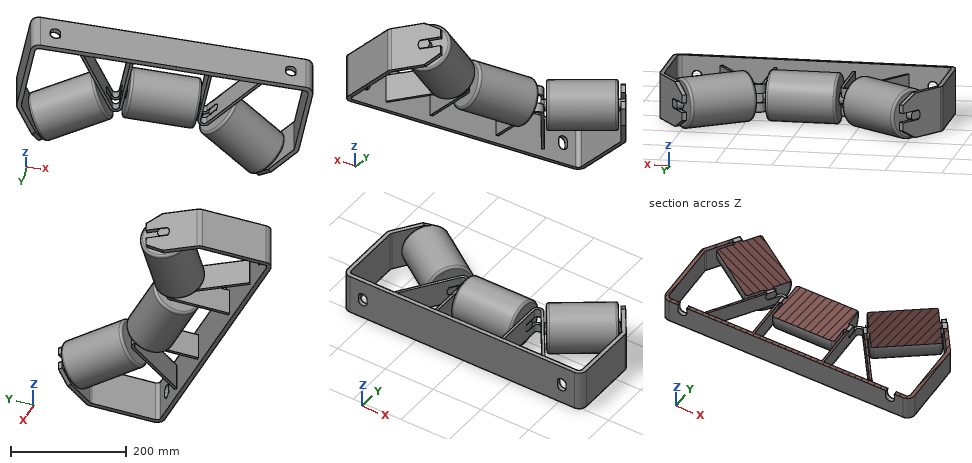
import cadquery as cq
import math

frame_length = 500.0
frame_height = 80.0
frame_thickness = 8.0
frame_bend_radius = 15.0

roller_length = 125.0
roller_diameter = 89.0
roller_round = 4.5
axle_diameter = 21.0
axle_flat_width = 15.0
axle_slot_width = 17.0
axle_gap = 4.5
flat_relief = 1.5
center_roller_y = 101.5
side_roller_x = 151.5
side_roller_y = 149.5
tilt = 35.0

wing_tip = 31.0
wing_corner_length = 30.0
wing_corner_depth = 17.0

bracket_height = 50.0
bracket_thickness = 5.0
bracket_bend_radius = 11.5
bracket_sink = 0.5

bolt_slot_width = 18.0
bolt_slot_length = 26.0
bolt_slot_x = 208.5

plate_face = roller_length / 2 + axle_gap
wing_outer = plate_face + frame_thickness
bracket_back = plate_face + bracket_thickness
tilt_cos = math.cos(math.radians(tilt))
tilt_sin = math.sin(math.radians(tilt))


def tilted_point(along, across):
    """Point placed from the left roller's middle, along its axis (inwards) and across it (upwards)."""
    return (
        -side_roller_x + along * tilt_cos + across * tilt_sin,
        side_roller_y - along * tilt_sin + across * tilt_cos,
    )


def tilted_point_at_x(along, x):
    return tilted_point(along, (x + side_roller_x - along * tilt_cos) / tilt_sin)


def tilted_point_at_y(along, y):
    return tilted_point(along, (y - side_roller_y + along * tilt_sin) / tilt_cos)


def tilted(shape):
    """Move a shape built along X at the origin onto the left roller's axis."""
    turned = shape.rotate((0, 0, 0), (0, 0, 1), -tilt)
    return turned.translate((-side_roller_x, side_roller_y, 0))


def mirrored(shape):
    return shape.mirror("YZ")


def block(x_start, x_end, y_start, y_end, height):
    """Block between the given x and y limits, centred on z = 0."""
    size_x = x_end - x_start
    size_y = y_end - y_start
    middle = ((x_start + x_end) / 2, (y_start + y_end) / 2, 0)
    return cq.Workplane("XY").box(size_x, size_y, height).translate(middle)


def bent_plate(outline, height, bends):
    """Extrude an outline and round its corners; bends lists (corner, radius)."""
    plate = cq.Workplane("XY").polyline(outline).close().extrude(height / 2, both=True)
    for corner, radius in bends:
        edge = cq.selectors.NearestToPointSelector((*corner, 0))
        plate = plate.edges("|Z").edges(edge).fillet(radius)
    return plate


def rod(start, end):
    """Round bar along X with the axle's diameter."""
    return cq.Workplane("YZ", origin=(start, 0, 0)).circle(axle_diameter / 2).extrude(end - start)


def axle(start, end):
    """Axle along X, round in the middle and with two flats facing up and down at its ends."""
    round_end = plate_face - flat_relief
    flatted = rod(start, end).intersect(
        block(start, end, -axle_diameter, axle_diameter, axle_flat_width)
    )
    return flatted.union(rod(-round_end, round_end))


def axle_slot(start, end, length):
    """Cutter for an open slot running from the axle's seat towards +Y."""
    seat = rod(start, end).intersect(
        block(start, end, -axle_diameter, axle_diameter, axle_slot_width)
    )
    return seat.union(block(start, end, 0, length, axle_slot_width))


def roller(start, end):
    """Roller along X with its axle running from start to end."""
    left_end = (-roller_length / 2, 0, 0)
    drum = cq.Workplane("YZ", origin=left_end).circle(roller_diameter / 2).extrude(roller_length)
    drum = drum.faces("<X or >X").edges().fillet(roller_round)
    return drum.union(axle(start, end))


def side_roller():
    return tilted(roller(-wing_outer, bracket_back))


def wing_corner_cuts():
    """Two wedges that bevel the free corners of the left wing."""
    half_height = frame_height / 2
    wedges = cq.Workplane("XY")
    for side in (-1, 1):
        wedge = (
            cq.Workplane("YZ", origin=(-wing_outer, 0, 0))
            .polyline([
                (wing_tip, side * half_height),
                (wing_tip - wing_corner_length, side * half_height),
                (wing_tip, side * (half_height - wing_corner_depth)),
            ])
            .close()
            .extrude(frame_thickness)
        )
        wedges = wedges.add(wedge)
    return tilted(wedges.combine())


def bolt_slot():
    return (
        cq.Workplane("XZ", origin=(-bolt_slot_x, 0, 0))
        .slot2D(bolt_slot_length, bolt_slot_width, 90)
        .extrude(-frame_thickness)
    )


def frame_half():
    """Left half of the frame: base, upright and wing in one bent strip."""
    outer_x = -frame_length / 2
    inner_x = outer_x + frame_thickness
    base_outer = (outer_x, 0)
    base_inner = (inner_x, frame_thickness)
    wing_bend_outer = tilted_point_at_x(-wing_outer, outer_x)
    wing_bend_inner = tilted_point_at_x(-plate_face, inner_x)
    outline = [
        (0, 0),
        base_outer,
        wing_bend_outer,
        tilted_point(-wing_outer, wing_tip),
        tilted_point(-plate_face, wing_tip),
        wing_bend_inner,
        base_inner,
        (0, frame_thickness),
    ]
    bends = [
        (base_outer, frame_bend_radius),
        (base_inner, frame_bend_radius - frame_thickness),
        (wing_bend_outer, frame_bend_radius),
        (wing_bend_inner, frame_bend_radius - frame_thickness),
    ]
    strip = bent_plate(outline, frame_height, bends)
    wing_slot = tilted(axle_slot(-wing_outer, -plate_face, wing_tip))
    return strip.cut(wing_corner_cuts()).cut(wing_slot).cut(bolt_slot())


def bracket():
    """Left bracket: an upright leg bent over into an inclined leg, slotted across the bend."""
    bend_outer = tilted_point_at_x(plate_face, -plate_face)
    bend_inner = tilted_point_at_x(bracket_back, -bracket_back)
    foot = tilted_point_at_y(bracket_back, frame_thickness - bracket_sink)
    foot_corner = (foot[0] - bracket_thickness * tilt_cos, foot[1] + bracket_thickness * tilt_sin)
    outline = [
        (-plate_face, frame_thickness),
        bend_outer,
        foot_corner,
        foot,
        bend_inner,
        (-bracket_back, frame_thickness),
    ]
    bends = [
        (bend_outer, bracket_bend_radius),
        (bend_inner, bracket_bend_radius - bracket_thickness),
    ]
    plate = bent_plate(outline, bracket_height, bends)
    bend_slot = axle_slot(
        -plate_face - 2 * bracket_bend_radius, -plate_face, bend_outer[1] - center_roller_y
    ).translate((0, center_roller_y, 0))
    tilted_slot = tilted(axle_slot(plate_face, bracket_back, bracket_bend_radius))
    return plate.cut(bend_slot).cut(tilted_slot)


def carrier():
    """Frame and brackets joined to the centre roller, whose axle is fixed in the bracket slots.

    The faces are left unmerged, so that the axle ends keep their edges in the slots.
    """
    half = frame_half().union(bracket())
    center_roller = roller(-bracket_back, bracket_back).translate((0, center_roller_y, 0))
    return half.union(mirrored(half)).union(center_roller, clean=False)


left_roller = side_roller()
side_rollers = [left_roller, mirrored(left_roller)]

result = cq.Compound.makeCompound([carrier().val(), *[body.val() for body in side_rollers]])